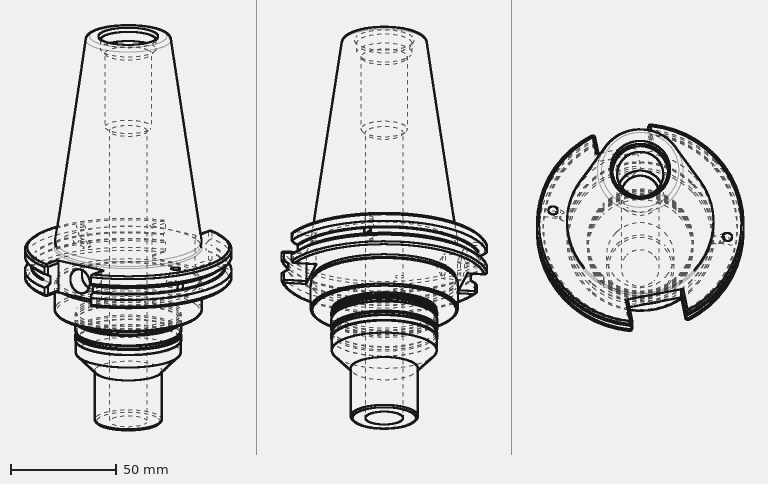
import cadquery as cq
import math


gauge_radius = 69.85 / 2
taper_slope = 7 / 48
taper_length = 101.6
taper_tip_radius = gauge_radius - taper_length * taper_slope
taper_tip_fillet = 2.0

relief_depth = 0.5
relief_fillet = 0.7

flange_radius = 98.43 / 2
flange_top = -3.175
flange_bottom = -19.05
flange_chamfer = 1.1
groove_radius = 46.0
groove_centre = -11.1
groove_opening = 7.0
groove_fillet = 0.5
groove_wall_angle = 30

collar_radius = 70.0 / 2
collar_bottom = -35.0
collar_chamfer = 0.8
neck_depth = 0.9
neck_bottom = -20.4

body_radius = 50.0 / 2
band_radius = 50.5 / 2
band_top = -36.1
band_bottom = -49.3
ring_groove_depth = 0.55
ring_groove_width = 2.3
ring_groove_centres = (-38.5, -45.5)
body_bottom = -55.4

overall_length = 191.2
nose_length = overall_length - taper_length
nose_radius = 32.0 / 2
nose_top = -64.5
nose_chamfer = 0.9

mouth_radius = 26.4 / 2
mouth_cone_width = 1.0
mouth_cone_angle = 30
mouth_depth = 6.3
thread_radius = 21.96 / 2
thread_depth = 45.0
bore_radius = 18.0 / 2

slot_half_width = 25.7 / 2
slot_chamfer = 1.1
front_slot_floor = 37.7
back_slot_floor = 35.3
dimple_radius = 11.7 / 2
dimple_depth = 9.0
drill_point_angle = 118

coolant_angles = (160, 340)
inlet_circle_radius = 42.0
inlet_radius = 3.9 / 2
inlet_tilt = 30
cross_hole_radius = 3.24 / 2


def ring_groove_points(centre):
    outer = ring_groove_width / 2
    inner = outer - ring_groove_depth
    floor_radius = band_radius - ring_groove_depth
    return [
        (band_radius, centre + outer),
        (floor_radius, centre + inner),
        (floor_radius, centre - inner),
        (band_radius, centre - outer),
    ]


def taper_and_collar_points():
    relief_radius = gauge_radius - relief_depth
    return [
        (0, taper_length),
        (taper_tip_radius, taper_length),
        (gauge_radius, 0),
        (relief_radius, flange_top),
        (relief_radius, flange_bottom),
        (collar_radius - neck_depth, flange_bottom),
        (collar_radius - neck_depth, neck_bottom),
        (collar_radius, neck_bottom - neck_depth),
        (collar_radius, collar_bottom + collar_chamfer),
        (collar_radius - collar_chamfer, collar_bottom),
    ]


def body_and_nose_points():
    band_step = band_radius - body_radius
    points = [
        (body_radius, collar_bottom),
        (body_radius, band_top),
        (band_radius, band_top - band_step),
    ]
    for centre in ring_groove_centres:
        points += ring_groove_points(centre)
    points += [
        (band_radius, band_bottom + band_step),
        (body_radius, band_bottom),
        (body_radius, body_bottom),
        (nose_radius, nose_top),
        (nose_radius, -nose_length + nose_chamfer),
        (nose_radius - nose_chamfer, -nose_length),
        (0, -nose_length),
    ]
    return points


def revolve_about_z(points):
    return cq.Workplane("XZ").polyline(points).close().revolve(360, (0, 0, 0), (0, 1, 0))


def make_shank():
    shank = revolve_about_z(taper_and_collar_points() + body_and_nose_points())
    return shank.faces(">Z").edges().fillet(taper_tip_fillet)


def make_flange():
    wall_rise = (flange_radius - groove_radius) * math.tan(math.radians(groove_wall_angle))
    rim_half_width = groove_opening / 2
    floor_half_width = rim_half_width - wall_rise
    flange = revolve_about_z([
        (0, flange_top),
        (flange_radius - flange_chamfer, flange_top),
        (flange_radius, flange_top - flange_chamfer),
        (flange_radius, groove_centre + rim_half_width),
        (groove_radius, groove_centre + floor_half_width),
        (groove_radius, groove_centre - floor_half_width),
        (flange_radius, groove_centre - rim_half_width),
        (flange_radius, flange_bottom + flange_chamfer),
        (flange_radius - flange_chamfer, flange_bottom),
        (0, flange_bottom),
    ])
    groove_floor_edges = flange.edges(cq.selectors.RadiusNthSelector(0))
    return groove_floor_edges.fillet(groove_fillet)


def fillet_relief_corner(solid):
    """Round the corner where the relief meets the top of the flange, a circle centred on the axis."""
    reach = relief_fillet / 2
    around_centre = cq.selectors.BoxSelector(
        (-reach, -reach, flange_top - reach), (reach, reach, flange_top + reach)
    )
    return solid.edges(around_centre).fillet(relief_fillet)


def make_slot(floor):
    """Slot cutter on the +Y side, with 45 degree flares at the top, bottom and rim."""
    depth = flange_radius - floor
    flared = slot_half_width + slot_chamfer
    section = [
        (slot_half_width, flange_bottom + slot_chamfer),
        (slot_half_width, flange_top - slot_chamfer),
        (flared, flange_top),
        (-flared, flange_top),
        (-slot_half_width, flange_top - slot_chamfer),
        (-slot_half_width, flange_bottom + slot_chamfer),
        (-flared, flange_bottom),
        (flared, flange_bottom),
    ]
    channel = cq.Workplane("XZ", origin=(0, floor, 0)).polyline(section).close().extrude(-depth)

    corner_y = math.sqrt(flange_radius**2 - flared**2)
    flare_start = corner_y - slot_chamfer
    flare_end = corner_y + slot_chamfer
    wide = flared + slot_chamfer
    rim_flare = (
        cq.Workplane("XY", origin=(0, 0, flange_bottom))
        .polyline([
            (-slot_half_width, flare_start),
            (slot_half_width, flare_start),
            (wide, flare_end),
            (-wide, flare_end),
        ])
        .close()
        .extrude(flange_top - flange_bottom)
    )
    return channel.union(rim_flare)


def make_dimple():
    point_depth = dimple_radius / math.tan(math.radians(drill_point_angle / 2))
    drill = revolve_about_z([
        (0, 0),
        (dimple_radius, 0),
        (dimple_radius, -dimple_depth),
        (0, -dimple_depth - point_depth),
    ])
    return drill.rotate((0, 0, 0), (1, 0, 0), 90).translate((0, -front_slot_floor, groove_centre))


def make_bore():
    mouth_cone_depth = mouth_cone_width / math.tan(math.radians(mouth_cone_angle))
    mouth_floor = taper_length - mouth_depth
    thread_floor = taper_length - thread_depth
    return revolve_about_z([
        (0, taper_length),
        (mouth_radius + mouth_cone_width, taper_length),
        (mouth_radius, taper_length - mouth_cone_depth),
        (mouth_radius, mouth_floor),
        (thread_radius, mouth_floor - (mouth_radius - thread_radius)),
        (thread_radius, thread_floor),
        (bore_radius, thread_floor - (thread_radius - bore_radius)),
        (bore_radius, -nose_length),
        (0, -nose_length),
    ])


def make_coolant_holes(angle):
    """Tilted inlet from the flange top and the radial hole that meets it from the groove."""
    lean = math.radians(inlet_tilt)
    inlet_direction = cq.Vector(-math.sin(lean), 0, -math.cos(lean))
    meeting_drop = flange_top - groove_centre
    meeting_radius = inlet_circle_radius - meeting_drop * math.tan(lean)
    inlet_start = cq.Vector(inlet_circle_radius, 0, flange_top) - inlet_direction * inlet_radius * 2
    meeting_point = cq.Vector(meeting_radius, 0, groove_centre)
    inlet_length = (meeting_point - inlet_start).Length + cross_hole_radius
    inlet = cq.Solid.makeCylinder(inlet_radius, inlet_length, inlet_start, inlet_direction)
    cross_hole = cq.Solid.makeCylinder(
        cross_hole_radius, flange_radius - meeting_radius, meeting_point, cq.Vector(1, 0, 0)
    )
    holes = cq.Workplane(inlet).union(cq.Workplane(cross_hole))
    return holes.rotate((0, 0, 0), (0, 0, 1), angle)


flange = make_flange()
flange = flange.cut(make_slot(back_slot_floor))
flange = flange.cut(make_slot(front_slot_floor).rotate((0, 0, 0), (0, 0, 1), 180))

result = fillet_relief_corner(make_shank().union(flange))
result = result.cut(make_bore()).cut(make_dimple())
for coolant_angle in coolant_angles:
    result = result.cut(make_coolant_holes(coolant_angle))